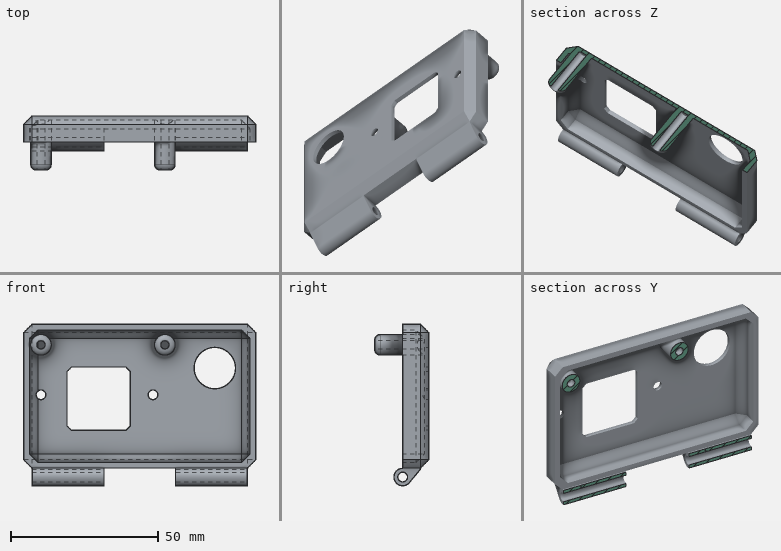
import cadquery as cq
import math

length = 79.0
height = 49.0
depth = 8.9
bevel = 2.9
wall = 2.0
floor_thickness = 1.5

post_diameter = 7.0
post_bore = 2.8
post_reach = 9.55
post_tip_radius = 2.0
post_x = (5.9, 48.0)
post_z = 41.95

screw_diameter = 3.2
screw_x = (5.9, 44.0)
screw_z = 25.0
port_diameter = 14.0
port_x = 65.0
port_z = 34.05
window_size = 21.4
window_corner = 1.4
window_x = 25.5
window_z = 23.6

knuckle_radius = 3.0
knuckle_bore = 3.2
knuckle_length = 24.5
knuckle_arm_drop = 0.4


def beveled_block(inset, back):
    """Block from Y = 0 to back, chamfered on its corners along Y and around its back face."""
    return (
        cq.Workplane("XY")
        .box(length - 2 * inset, back, height - 2 * inset, centered=False)
        .translate((inset, 0, inset))
        .edges("|Y or >Y")
        .chamfer(bevel)
    )


def cylinder_y(diameter, x, z, front, back):
    """Cylinder along Y between two Y positions."""
    radius = diameter / 2
    start = cq.Vector(x, front, z)
    return cq.Workplane(cq.Solid.makeCylinder(radius, back - front, start, cq.Vector(0, 1, 0)))


def post(x):
    """Hollow post with a rounded front tip; its bore ends on the cavity surface."""
    body = cylinder_y(post_diameter, x, post_z, -post_reach, depth - floor_thickness)
    body = body.faces("<Y").edges().fillet(post_tip_radius)
    return body.cut(cylinder_y(post_bore, x, post_z, -post_reach, depth - floor_thickness))


def knuckle(x_start):
    """Hinge barrel on the rim plane, with a tangent arm to the lid's underside."""
    center_z = -knuckle_radius
    arm_y = depth - bevel
    arm_z = -knuckle_arm_drop
    rise = arm_z - center_z
    tangent_angle = math.atan2(rise, arm_y) - math.acos(knuckle_radius / math.hypot(arm_y, rise))
    tangent_y = knuckle_radius * math.cos(tangent_angle)
    tangent_z = center_z + knuckle_radius * math.sin(tangent_angle)
    return (
        cq.Workplane("YZ", origin=(x_start, 0, 0))
        .moveTo(0, 0)
        .lineTo(arm_y, 0)
        .lineTo(arm_y, arm_z)
        .lineTo(tangent_y, tangent_z)
        .threePointArc((-knuckle_radius, center_z), (0, 0))
        .close()
        .moveTo(0, center_z)
        .circle(knuckle_bore / 2)
        .extrude(knuckle_length)
    )


result = beveled_block(0, depth).cut(beveled_block(wall, depth - floor_thickness))

for x in post_x:
    result = result.union(post(x))

for x in screw_x:
    result = result.cut(cylinder_y(screw_diameter, x, screw_z, 0, depth))
result = result.cut(cylinder_y(port_diameter, port_x, port_z, 0, depth))
window = (
    cq.Workplane("XY")
    .box(window_size, depth, window_size)
    .edges("|Y")
    .chamfer(window_corner)
    .translate((window_x, depth / 2, window_z))
)
result = result.cut(window)

for x_start in (bevel, length - bevel - knuckle_length):
    result = result.union(knuckle(x_start))